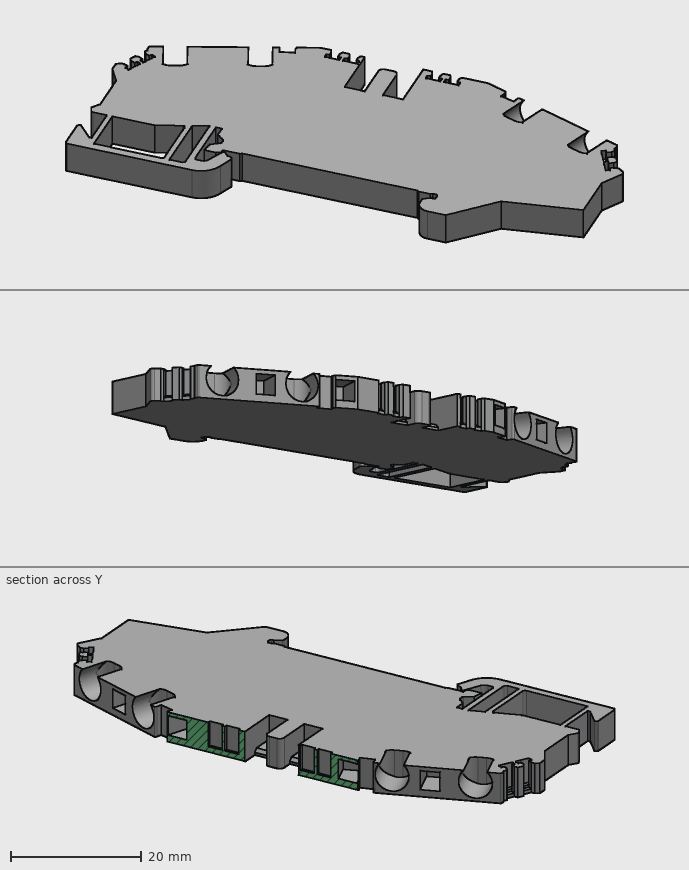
import cadquery as cq
import math


THICKNESS = 5.1
TOP_Y = 31.5
FOOT_BOTTOM_Y = -7.0
LEFT_LIMIT_X = -41.6

CROWN_HALF_FLAT = 13.8
SLOPE_ANGLE = 20.0
SHOULDER_X = 38.5
SHOULDER_BOTTOM_Y = 21.75
SHOULDER_UNDERCUT = 0.15
NOTCH_OUTER_X = 19.6
NOTCH_INNER_X = 17.2
NOTCH_STEP_Y = 29.6
NOTCH_DEPTH = 1.2
NOTCH_UNDERCUT = 0.3
NOTCH_LIP_ROUND = 0.25

FLANK_ANGLE = 62.0
FLANK_TOP_Y = 21.5
FLANK_BOTTOM_Y = 16.64
LOBE_TIP = (42.21, 15.75)
LOBE_ROUND = 0.6
SIDE_X = 39.9
SIDE_TOP_Y = 11.9
SIDE_BOTTOM_Y = 4.0

SHELF_Y = 2.5
SEAT_STEP = 0.2
SEAT_BEVEL = 0.3
SEAT_LEFT_X = -14.7
SEAT_RIGHT_X = 14.1
SPRING_GAP_TOP_Y = 5.3
CORNER_ROUND = 0.3
HEEL_BOTTOM_X = -40.4
HEEL_TIP = (-40.9, 3.6)
HEEL_TOP_Y = 5.0

SPRING_GAP_RIGHT_X = -20.0
SPRING_GAP_LOWER_Y = 3.5
RECESS_WALL_X = -18.7
RECESS_WALL_TOP_Y = 2.4
RECESS_WALL_BOTTOM_Y = 1.55
NOSE_SHOULDER = (-20.2, 0.55)
NOSE_LEFT_X = -20.5
NOSE_RIGHT_X = -17.8
NOSE_BOTTOM_Y = -1.2
NOSE_BEVEL_WIDTH = 0.8
NOSE_BEVEL_HEIGHT = 0.4

FIXED_FOOT_Y = -4.8
FIXED_FOOT_ROOT = (27.2, 1.75)
FIXED_FOOT_TOE_X = 20.6
FIXED_FOOT_LIP_Y = -1.9
RELIEF_LEFT_X = 16.9
RELIEF_RIGHT_X = 17.5
RELIEF_BOTTOM_Y = -1.15
RELIEF_LOWER_ROUND = 0.15
RELIEF_UPPER_ROUND = 0.4
FIXED_FOOT_LEFT_X = 15.65
FIXED_FOOT_ROUND = 1.9

LEG_OUTER_X = -37.85
LEG_INNER_X = -36.95
BAR_TOP_Y = -5.55
STRUT_1_LEFT_X = -25.5
STRUT_1_RIGHT_X = -24.55
STRUT_2_LEFT_X = -22.05
STRUT_2_RIGHT_X = -21.0
FOOT_LEFT_X = -41.15
FOOT_CORNER_ROUND = 0.4
BARB_ROOT_X = -38.3
BARB_TIP = (-40.7, -1.4)
BARB_SIDE_TOP_Y = -1.7
BARB_ROUND = 0.2
HOOK_ROOT_X = -19.2
HOOK_ROOT_Y = -4.1
HOOK_ROOT_ROUND = 1.0
HOOK_BASE_X = -17.6
HOOK_BACK_ROUND = 4.0
HOOK_BACK_TIP = (-15.5, -1.7)
HOOK_TIP_ROUND = 0.5
HOOK_SEAT = (-16.6, -1.4)
HOOK_POINT = (-17.5, -0.4)
STRUT_ROOT_ROUND = 0.5
WINDOW_RAMP_START_X = -30.0
WINDOW_RAMP_ANGLE = 20.0
WINDOW_ROUND = 0.4

SLOT_LEFT_X = -6.45
SLOT_RIGHT_X = 3.15
PIN_WIDTH = 3.0
PIN_TOP_Y = 29.45
PIN_ROUND = 0.8
SLOT_OPEN_Y = 27.0
SLOT_BOTTOM_Y = 22.7
SLOT_FLOOR_Z = 1.0
SLOT_FLOOR_CHAMFER = 0.55
SLOT_END_CHAMFER = 0.25

BORE_X = (22.4, 34.7)
BORE_DIAMETER = 5.3
BORE_AXIS_Z = 3.2
BORE_DEPTH = 5.2
BORE_END_ROUND = 2.0
POCKET_X = (15.7, 28.0)
POCKET_WIDTH = 3.1
POCKET_Z = (1.2, 4.4)
POCKET_DEPTH = 5.0

TOP_GROOVE_X = (-11.05, -8.05, 5.55, 8.55)
END_GROOVE_Y = (20.13, 17.48)
MOUTH_HALF_WIDTH = 0.95
NECK_HALF_WIDTH = 0.68
RECESS_HALF_WIDTH = 1.2
MOUTH_DEPTH = 0.55
NECK_DEPTH = 1.35
RECESS_DEPTH = 2.1
NECK_FLOOR_Z = 0.6
RECESS_FLOOR_Z = 1.0

CUT_MARGIN = 1.0


def slope_y(distance):
    """Height of the sloping crown at a distance from the symmetry axis."""
    return TOP_Y - (distance - CROWN_HALF_FLAT) * math.tan(math.radians(SLOPE_ANGLE))


def flank_x(y):
    """Distance of the marker flank from the symmetry axis at a height."""
    return SHOULDER_X - SHOULDER_UNDERCUT + (FLANK_TOP_Y - y) / math.tan(math.radians(FLANK_ANGLE))


def extrude_outline(corners, z_start=0.0, z_end=THICKNESS):
    """Prism over a closed outline of (x, y) or (x, y, corner radius) points."""
    stretches = []
    for i, corner in enumerate(corners):
        here = cq.Vector(corner[0], corner[1])
        if len(corner) == 2:
            stretches.append([here])
            continue
        radius = corner[2]
        following = corners[(i + 1) % len(corners)]
        before = (cq.Vector(*corners[i - 1][:2]) - here).normalized()
        after = (cq.Vector(*following[:2]) - here).normalized()
        half_angle = before.getAngle(after) / 2
        setback = radius / math.tan(half_angle)
        crest = here + (before + after).normalized() * (radius / math.sin(half_angle) - radius)
        stretches.append([here + before * setback, crest, here + after * setback])

    edges = []
    for i, stretch in enumerate(stretches):
        if len(stretch) == 3:
            edges.append(cq.Edge.makeThreePointArc(*stretch))
        edges.append(cq.Edge.makeLine(stretch[-1], stretches[(i + 1) % len(stretches)][0]))
    outline = cq.Wire.assembleEdges(edges)
    prism = cq.Solid.extrudeLinear(outline, [], cq.Vector(0, 0, z_end - z_start))
    return cq.Workplane(prism.translate(cq.Vector(0, 0, z_start)))


def box(x_range, y_range, z_range):
    """Axis-aligned box between pairs of limits."""
    size = [limits[1] - limits[0] for limits in (x_range, y_range, z_range)]
    return cq.Workplane("XY").box(*size, centered=False).translate((x_range[0], y_range[0], z_range[0]))


def crown_half():
    """Right half of the upper outline, from the flat top down to the straight side."""
    notch_inner_bottom = NOTCH_INNER_X - NOTCH_UNDERCUT
    return [
        (CROWN_HALF_FLAT, TOP_Y),
        (NOTCH_INNER_X, slope_y(NOTCH_INNER_X)),
        (NOTCH_INNER_X, NOTCH_STEP_Y),
        (notch_inner_bottom, slope_y(notch_inner_bottom) - NOTCH_DEPTH - NOTCH_UNDERCUT),
        (NOTCH_OUTER_X - NOTCH_UNDERCUT, slope_y(NOTCH_OUTER_X) - NOTCH_DEPTH),
        (NOTCH_OUTER_X, slope_y(NOTCH_OUTER_X), NOTCH_LIP_ROUND),
        (SHOULDER_X, slope_y(SHOULDER_X), NOTCH_LIP_ROUND),
        (SHOULDER_X, SHOULDER_BOTTOM_Y),
        (flank_x(FLANK_TOP_Y), FLANK_TOP_Y),
        (flank_x(FLANK_BOTTOM_Y), FLANK_BOTTOM_Y),
        (LOBE_TIP[0], LOBE_TIP[1], LOBE_ROUND),
        (SIDE_X, SIDE_TOP_Y),
    ]


def make_body():
    """Full-thickness plate with the fixed rail foot, squared off at its left limit."""
    right = crown_half()
    left = [(-corner[0], *corner[1:]) for corner in reversed(right)]
    fixed_foot = [
        (SIDE_X, SIDE_BOTTOM_Y),
        FIXED_FOOT_ROOT,
        (FIXED_FOOT_TOE_X, FIXED_FOOT_Y),
        (FIXED_FOOT_LEFT_X, FIXED_FOOT_Y, FIXED_FOOT_ROUND),
        (FIXED_FOOT_LEFT_X, FIXED_FOOT_LIP_Y, CORNER_ROUND),
        (RELIEF_LEFT_X, RELIEF_BOTTOM_Y),
        (RELIEF_RIGHT_X, RELIEF_BOTTOM_Y, RELIEF_LOWER_ROUND),
        (RELIEF_RIGHT_X, 0.0, RELIEF_UPPER_ROUND),
        (RELIEF_LEFT_X - SEAT_BEVEL, 0.0),
        (RELIEF_LEFT_X - 2 * SEAT_BEVEL, -SEAT_STEP),
        (SEAT_RIGHT_X + SEAT_BEVEL, -SEAT_STEP),
        (SEAT_RIGHT_X, 0.0),
    ]
    spring_side = [
        (SEAT_LEFT_X, 0.0),
        (SEAT_LEFT_X - SEAT_BEVEL, -SEAT_STEP),
        (NOSE_RIGHT_X, -SEAT_STEP),
        (NOSE_RIGHT_X, NOSE_BOTTOM_Y + NOSE_BEVEL_HEIGHT),
        (NOSE_RIGHT_X - NOSE_BEVEL_WIDTH, NOSE_BOTTOM_Y),
        (NOSE_LEFT_X, NOSE_BOTTOM_Y),
        NOSE_SHOULDER,
        (RECESS_WALL_X, RECESS_WALL_BOTTOM_Y, CORNER_ROUND),
        (RECESS_WALL_X, RECESS_WALL_TOP_Y, CORNER_ROUND),
        (SPRING_GAP_RIGHT_X, SPRING_GAP_LOWER_Y),
        (SPRING_GAP_RIGHT_X, SPRING_GAP_TOP_Y),
        (STRUT_2_RIGHT_X, SPRING_GAP_TOP_Y),
        (STRUT_2_LEFT_X, SPRING_GAP_TOP_Y),
        (WINDOW_RAMP_START_X, SHELF_Y),
        (HEEL_BOTTOM_X, SHELF_Y, CORNER_ROUND),
        (HEEL_TIP[0], HEEL_TIP[1], CORNER_ROUND),
        (-SIDE_X, HEEL_TOP_Y),
    ]
    body = extrude_outline(right + fixed_foot + spring_side + left)
    return body.intersect(
        box((LEFT_LIMIT_X, LOBE_TIP[0]), (FOOT_BOTTOM_Y, TOP_Y), (0, THICKNESS))
    )


def window_ramp_y(x):
    """Height of the sloping body underside above the spring-foot windows."""
    return SHELF_Y + (x - WINDOW_RAMP_START_X) * math.tan(math.radians(WINDOW_RAMP_ANGLE))


def make_spring_foot():
    """Flat bar with its two hooks, the leg and struts left standing between the windows."""
    foot = extrude_outline([
        (LEG_OUTER_X, SHELF_Y),
        (LEG_OUTER_X, HOOK_ROOT_Y),
        (BARB_ROOT_X, HOOK_ROOT_Y),
        (BARB_TIP[0], BARB_TIP[1], BARB_ROUND),
        (FOOT_LEFT_X, BARB_SIDE_TOP_Y, BARB_ROUND),
        (FOOT_LEFT_X, FOOT_BOTTOM_Y, FOOT_CORNER_ROUND),
        (HOOK_BASE_X, FOOT_BOTTOM_Y, HOOK_BACK_ROUND),
        (HOOK_BACK_TIP[0], HOOK_BACK_TIP[1], HOOK_TIP_ROUND),
        HOOK_SEAT,
        HOOK_POINT,
        (HOOK_ROOT_X, HOOK_ROOT_Y, HOOK_ROOT_ROUND),
        (STRUT_2_RIGHT_X, HOOK_ROOT_Y, STRUT_ROOT_ROUND),
        (STRUT_2_RIGHT_X, SPRING_GAP_TOP_Y),
        (STRUT_2_LEFT_X, SPRING_GAP_TOP_Y),
        (WINDOW_RAMP_START_X, SHELF_Y),
    ])
    wide_window = extrude_outline([
        (LEG_INNER_X, SHELF_Y),
        (WINDOW_RAMP_START_X, SHELF_Y),
        (STRUT_1_LEFT_X, window_ramp_y(STRUT_1_LEFT_X), WINDOW_ROUND),
        (STRUT_1_LEFT_X, BAR_TOP_Y, WINDOW_ROUND),
        (LEG_INNER_X, BAR_TOP_Y),
    ])
    narrow_window = extrude_outline([
        (STRUT_1_RIGHT_X, window_ramp_y(STRUT_1_RIGHT_X)),
        (STRUT_2_LEFT_X, window_ramp_y(STRUT_2_LEFT_X)),
        (STRUT_2_LEFT_X, BAR_TOP_Y, WINDOW_ROUND),
        (STRUT_1_RIGHT_X, BAR_TOP_Y),
    ])
    return foot.cut(wide_window).cut(narrow_window)


def make_jumper_slot():
    """Slot open at the top, closed by a floor lower down, around the central pin."""
    middle_x = (SLOT_LEFT_X + SLOT_RIGHT_X) / 2
    chamfer_end_y = SLOT_OPEN_Y - SLOT_FLOOR_CHAMFER
    profile = [
        (TOP_Y + CUT_MARGIN, 0),
        (SLOT_OPEN_Y, 0),
        (SLOT_OPEN_Y, SLOT_FLOOR_Z - SLOT_FLOOR_CHAMFER),
        (chamfer_end_y, SLOT_FLOOR_Z),
        (SLOT_BOTTOM_Y + SLOT_END_CHAMFER, SLOT_FLOOR_Z),
        (SLOT_BOTTOM_Y, SLOT_FLOOR_Z + SLOT_END_CHAMFER),
        (SLOT_BOTTOM_Y, THICKNESS),
        (TOP_Y + CUT_MARGIN, THICKNESS),
    ]
    slot = cq.Workplane("YZ", origin=(SLOT_LEFT_X, 0, 0)).polyline(profile).close()
    slot = slot.extrude(SLOT_RIGHT_X - SLOT_LEFT_X)
    pin_left = middle_x - PIN_WIDTH / 2
    pin_right = middle_x + PIN_WIDTH / 2
    pin = extrude_outline([
        (pin_left, SLOT_BOTTOM_Y),
        (pin_right, SLOT_BOTTOM_Y),
        (pin_right, PIN_TOP_Y, PIN_ROUND),
        (pin_left, PIN_TOP_Y, PIN_ROUND),
    ])
    return slot.cut(pin)


def on_slope(tool, distance):
    """Carry a tool sunk along -Y from the origin onto the right-hand slope."""
    return tool.rotate((0, 0, 0), (0, 0, 1), -SLOPE_ANGLE).translate((distance, slope_y(distance), 0))


def both_sides(tool):
    """A tool together with its mirror image across the symmetry axis."""
    return tool.union(tool.mirror("YZ"))


def make_bore(distance):
    """Bore partly open through the top face, its blind end rounded in plan."""
    radius = BORE_DIAMETER / 2
    bore = cq.Workplane("XZ", origin=(0, CUT_MARGIN, BORE_AXIS_Z)).circle(radius)
    bore = bore.extrude(BORE_DEPTH + CUT_MARGIN)
    plan = extrude_outline([
        (-radius, CUT_MARGIN),
        (radius, CUT_MARGIN),
        (radius, -BORE_DEPTH, BORE_END_ROUND),
        (-radius, -BORE_DEPTH, BORE_END_ROUND),
    ], 0.0, BORE_AXIS_Z + radius)
    return both_sides(on_slope(bore.intersect(plan), distance))


def make_wire_pocket(distance):
    """Rectangular wire entry closed on both plate faces."""
    half = POCKET_WIDTH / 2
    return both_sides(on_slope(box((-half, half), (-POCKET_DEPTH, CUT_MARGIN), POCKET_Z), distance))


def make_marker_groove():
    """Groove sunk along -Y from the origin."""
    mouth = extrude_outline([
        (-MOUTH_HALF_WIDTH, CUT_MARGIN),
        (-MOUTH_HALF_WIDTH, 0),
        (-NECK_HALF_WIDTH, -MOUTH_DEPTH),
        (NECK_HALF_WIDTH, -MOUTH_DEPTH),
        (MOUTH_HALF_WIDTH, 0),
        (MOUTH_HALF_WIDTH, CUT_MARGIN),
    ])
    neck_z = (NECK_FLOOR_Z, THICKNESS)
    recess_z = (RECESS_FLOOR_Z, THICKNESS)
    neck = box((-NECK_HALF_WIDTH, NECK_HALF_WIDTH), (-NECK_DEPTH, -MOUTH_DEPTH), neck_z)
    recess = box((-RECESS_HALF_WIDTH, RECESS_HALF_WIDTH), (-RECESS_DEPTH, -NECK_DEPTH), recess_z)
    return mouth.union(neck).union(recess)


result = make_body().union(make_spring_foot()).cut(make_jumper_slot())
for bore_distance in BORE_X:
    result = result.cut(make_bore(bore_distance))
for pocket_distance in POCKET_X:
    result = result.cut(make_wire_pocket(pocket_distance))

groove = make_marker_groove()
for groove_x in TOP_GROOVE_X:
    result = result.cut(groove.translate((groove_x, TOP_Y, 0)))
for groove_y in END_GROOVE_Y:
    end_groove = groove.rotate((0, 0, 0), (0, 0, 1), -FLANK_ANGLE)
    result = result.cut(both_sides(end_groove.translate((flank_x(groove_y), groove_y, 0))))